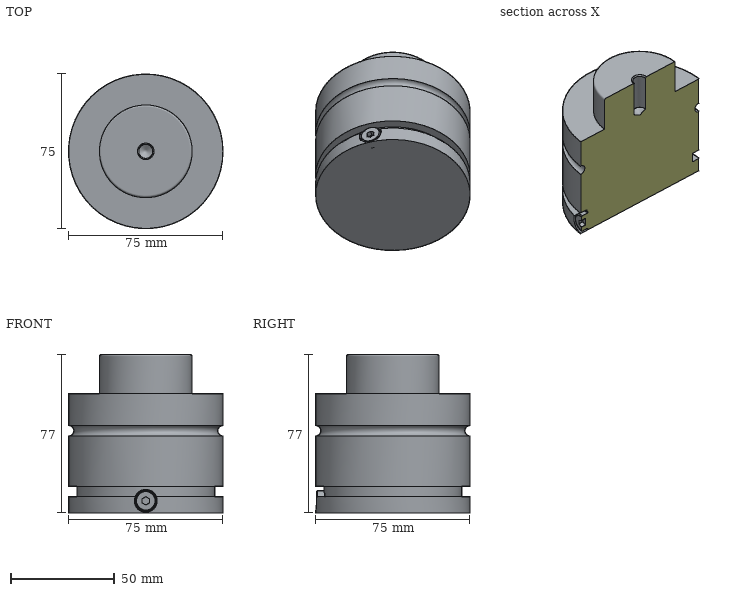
import cadquery as cq

body_radius = 75 / 2
body_top = 58
overall_height = 77

boss_radius = 45 / 2
boss_fillet = 1

neck_radius = 67 / 2
neck_bottom = 8
neck_top = 13

round_groove_radius = 2.5
round_groove_height = 40

hole_radius = 6.8 / 2
hole_mouth_radius = 8 / 2
hole_depth = 20
hole_tip_depth = hole_radius / 3 ** 0.5

screw_height = 6
pocket_radius = 11 / 2
pocket_floor = 33
head_radius = 10 / 2
head_face = 37
head_chamfer = 0.5
socket_across_corners = 4
socket_depth = 2.5


def make_body():
    """Revolve the stepped outline with both grooves, then round the top edge of the boss."""
    return (
        cq.Workplane("XZ")
        .lineTo(body_radius, 0)
        .lineTo(body_radius, neck_bottom)
        .lineTo(neck_radius, neck_bottom)
        .lineTo(neck_radius, neck_top)
        .lineTo(body_radius, neck_top)
        .lineTo(body_radius, round_groove_height - round_groove_radius)
        .threePointArc(
            (body_radius - round_groove_radius, round_groove_height),
            (body_radius, round_groove_height + round_groove_radius),
        )
        .lineTo(body_radius, body_top)
        .lineTo(boss_radius, body_top)
        .lineTo(boss_radius, overall_height)
        .lineTo(0, overall_height)
        .close()
        .revolve()
        .faces(">Z")
        .edges()
        .fillet(boss_fillet)
    )


def make_centre_hole():
    """Drilled hole with a conical tip and a 45 degree countersunk mouth."""
    hole_floor = overall_height - hole_depth
    mouth_depth = hole_mouth_radius - hole_radius
    return (
        cq.Workplane("XZ")
        .moveTo(0, hole_floor - hole_tip_depth)
        .lineTo(hole_radius, hole_floor)
        .lineTo(hole_radius, overall_height - mouth_depth)
        .lineTo(hole_mouth_radius, overall_height)
        .lineTo(0, overall_height)
        .close()
        .revolve()
    )


def radial_plane(distance):
    """Plane across the screw axis, facing -Y, at a distance from the Z axis."""
    return cq.Workplane("XZ", origin=(0, -distance, screw_height))


def make_pocket():
    """Round pocket from its floor out past the body surface."""
    return radial_plane(pocket_floor).circle(pocket_radius).extrude(body_radius - pocket_floor)


def make_screw_head():
    """Chamfered screw head with a hexagon socket, one pair of corners upright."""
    head = (
        radial_plane(pocket_floor)
        .circle(head_radius)
        .extrude(head_face - pocket_floor)
        .faces("<Y")
        .chamfer(head_chamfer)
    )
    socket = (
        radial_plane(head_face)
        .transformed(rotate=(0, 0, 90))
        .polygon(6, socket_across_corners)
        .extrude(-socket_depth)
    )
    return head.cut(socket)


result = make_body().cut(make_centre_hole()).cut(make_pocket()).union(make_screw_head())